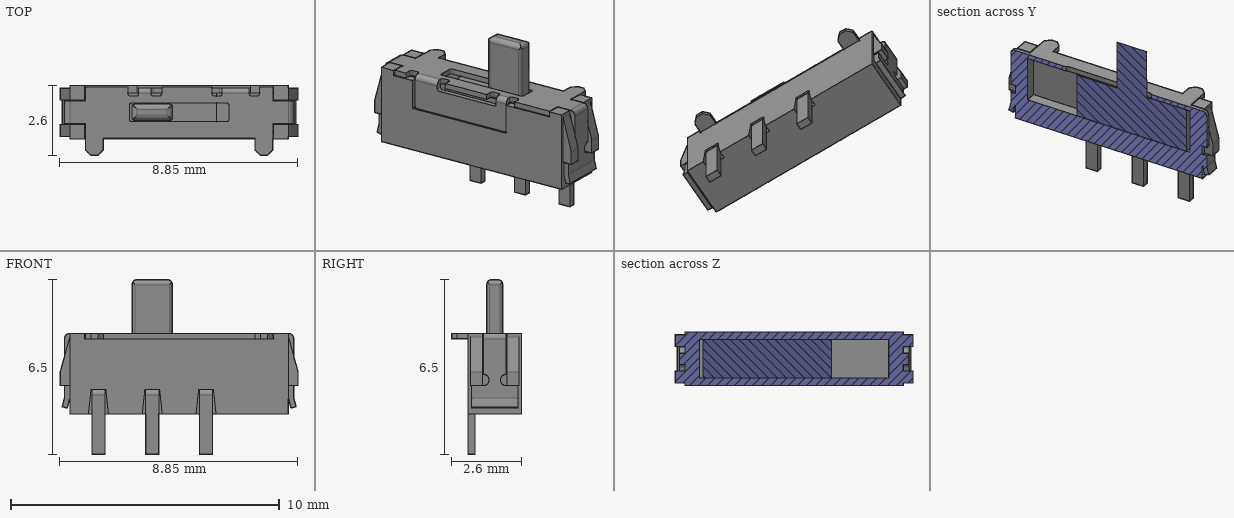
import cadquery as cq
import math


OVERALL_LENGTH = 8.85

BASE_LENGTH = 8.12
BASE_WIDTH = 2.0
BASE_HEIGHT = 3.0
HALF_LENGTH = BASE_LENGTH / 2
HALF_WIDTH = BASE_WIDTH / 2
CORNER_SIZE = 0.55
SIDE_WALL = 0.29
FLOOR_THICKNESS = 1.0
CAVITY_LENGTH = BASE_LENGTH - 2 * CORNER_SIZE
CAVITY_WIDTH = BASE_WIDTH - 2 * SIDE_WALL

SHEET = 0.2
BEND_MIDDLE = SHEET * math.sqrt(0.5)
COVER_GAP = 0.03
COVER_INSET = 0.05
COVER_BOTTOM = BASE_HEIGHT - SHEET
COVER_HALF_LENGTH = HALF_LENGTH - CORNER_SIZE - COVER_GAP
COVER_HALF_WIDTH = HALF_WIDTH - COVER_INSET
SMALL_RADIUS = 0.1

TAB_WIDTH = 0.67
TAB_REACH = 0.6
TAB_CHAMFER = 0.2

SLOT_LENGTH = 3.71
SLOT_WIDTH = 0.7

TONGUE_SPANS = [(-1.505, -1.04), (1.6, 2.6)]
RELIEF_SPANS = [(-1.9, -1.505), (-1.04, -0.65), (1.22, 1.6), (2.6, 2.99)]
RELIEF_DEPTH = 0.4
FLAP_LEFT = TONGUE_SPANS[0][0]
FLAP_RIGHT = TONGUE_SPANS[-1][1]
FLAP_INNER = CAVITY_WIDTH / 2
FLAP_OUTER = FLAP_INNER + SHEET
FLAP_WINDOW_DROP = 0.4
FLAP_BOTTOM = BASE_HEIGHT - 1.33
OPENING_END_GAP = 0.05

CATCH_REACH = (OVERALL_LENGTH - BASE_LENGTH) / 2
CATCH_INSET = 0.1
CATCH_WIDTH = CORNER_SIZE - CATCH_INSET
CATCH_TOP_DROP = 0.13
CATCH_KNEE_DROP = 1.43
CATCH_BOTTOM_DROP = 1.95

LEG_WIDTH = BASE_WIDTH - 2 * (CORNER_SIZE + COVER_GAP)
FOOT_WIDTH = 1.72
FOOT_KINK_DROP = 2.4
FOOT_LENGTH = 0.345
FOOT_TILT = math.radians(14.5)
LEG_RELIEF_RADIUS = 0.21

TERMINAL_PITCH = 2.0
TERMINAL_XS = [(number - 1.5) * TERMINAL_PITCH for number in range(3)]
TERMINAL_WIDTH = 0.5
TERMINAL_THICKNESS = 0.27
TERMINAL_LENGTH = 1.5
TERMINAL_TOP = 0.91
TERMINAL_BEND = 0.21
NOTCH_TOP_WIDTH = 0.55
NOTCH_BOTTOM_WIDTH = 0.74

KNOB_X = -TERMINAL_PITCH / 2
KNOB_LENGTH = 1.505
KNOB_WIDTH = 0.6
KNOB_HEIGHT = 2.0
KNOB_TOP_RADIUS = 0.195
KNOB_EDGE_RADIUS = 0.11
CARRIAGE_LENGTH = 4.78


def block(x_range, y_range, z_range):
    """Box between two limits on each axis."""
    lows = (x_range[0], y_range[0], z_range[0])
    sizes = (x_range[1] - x_range[0], y_range[1] - y_range[0], z_range[1] - z_range[0])
    return cq.Workplane("XY").box(*sizes, centered=False).translate(lows)


def both_ends(right_part):
    """The given +X part together with its mirror image at -X."""
    return right_part.union(right_part.mirror("YZ"))


def make_catches():
    """Two wedge-shaped catches on the +X end wall."""
    wedge = (
        cq.Workplane("XZ")
        .moveTo(HALF_LENGTH, BASE_HEIGHT - CATCH_TOP_DROP)
        .lineTo(HALF_LENGTH + CATCH_REACH, BASE_HEIGHT - CATCH_KNEE_DROP)
        .lineTo(HALF_LENGTH + CATCH_REACH, BASE_HEIGHT - CATCH_BOTTOM_DROP)
        .lineTo(HALF_LENGTH, BASE_HEIGHT - CATCH_BOTTOM_DROP)
        .close()
        .extrude(CATCH_WIDTH)
        .translate((0, -HALF_WIDTH + CORNER_SIZE, 0))
    )
    return wedge.union(wedge.mirror("XZ"))


def make_terminal_notch(x):
    """Flared notch in the front wall around one terminal."""
    return (
        cq.Workplane("XZ", origin=(x, -HALF_WIDTH + TERMINAL_THICKNESS, 0))
        .polyline([
            (-NOTCH_BOTTOM_WIDTH / 2, 0),
            (-NOTCH_TOP_WIDTH / 2, TERMINAL_TOP),
            (NOTCH_TOP_WIDTH / 2, TERMINAL_TOP),
            (NOTCH_BOTTOM_WIDTH / 2, 0),
        ])
        .close()
        .extrude(TERMINAL_THICKNESS)
    )


def make_base():
    base = cq.Workplane("XY").box(BASE_LENGTH, BASE_WIDTH, BASE_HEIGHT, centered=(True, True, False))

    inner_length = BASE_LENGTH - 2 * CORNER_SIZE
    inner_width = BASE_WIDTH - 2 * CORNER_SIZE
    for length, width in [(inner_length, BASE_WIDTH), (BASE_LENGTH, inner_width)]:
        base = base.cut(
            cq.Workplane("XY", origin=(0, 0, COVER_BOTTOM)).rect(length, width).extrude(SHEET)
        )

    base = base.cut(
        cq.Workplane("XY", origin=(0, 0, FLOOR_THICKNESS))
        .rect(CAVITY_LENGTH, CAVITY_WIDTH)
        .extrude(COVER_BOTTOM - FLOOR_THICKNESS)
    )
    base = base.cut(block(
        (FLAP_LEFT - OPENING_END_GAP, FLAP_RIGHT + OPENING_END_GAP),
        (CAVITY_WIDTH / 2, HALF_WIDTH),
        (FLAP_BOTTOM, COVER_BOTTOM),
    ))

    for x in TERMINAL_XS:
        base = base.cut(make_terminal_notch(x))
    return base.union(both_ends(make_catches()))


def make_front_tab():
    """Chamfered tab at the +X end of the front edge of the cover."""
    return (
        block(
            (COVER_HALF_LENGTH - TAB_WIDTH, COVER_HALF_LENGTH),
            (-HALF_WIDTH - TAB_REACH, -COVER_HALF_WIDTH),
            (COVER_BOTTOM, BASE_HEIGHT),
        )
        .edges("|Z and <Y")
        .chamfer(TAB_CHAMFER)
    )


def make_end_leg():
    """Leg folded down the +X end wall, wider at its outward-bent foot."""
    kink_z = BASE_HEIGHT - FOOT_KINK_DROP
    outer_x = HALF_LENGTH + SHEET
    foot_x = outer_x + FOOT_LENGTH * math.sin(FOOT_TILT)
    foot_z = kink_z - FOOT_LENGTH * math.cos(FOOT_TILT)
    strip = (
        cq.Workplane("XZ")
        .moveTo(HALF_LENGTH, BASE_HEIGHT)
        .threePointArc(
            (HALF_LENGTH + BEND_MIDDLE, COVER_BOTTOM + BEND_MIDDLE),
            (outer_x, COVER_BOTTOM),
        )
        .lineTo(outer_x, kink_z)
        .lineTo(foot_x, foot_z)
        .lineTo(foot_x - SHEET * math.cos(FOOT_TILT), foot_z - SHEET * math.sin(FOOT_TILT))
        .lineTo(HALF_LENGTH, kink_z - SHEET * math.tan(FOOT_TILT / 2))
        .close()
        .extrude(FOOT_WIDTH / 2, both=True)
    )
    shoulder_z = BASE_HEIGHT - CATCH_BOTTOM_DROP
    for side in (-1, 1):
        y_range = sorted((side * LEG_WIDTH / 2, side * FOOT_WIDTH / 2))
        strip = strip.cut(block((HALF_LENGTH, foot_x), y_range, (shoulder_z, BASE_HEIGHT)))
    reliefs = (
        cq.Workplane("YZ", origin=(HALF_LENGTH, 0, shoulder_z + LEG_RELIEF_RADIUS))
        .pushPoints([(-LEG_WIDTH / 2, 0), (LEG_WIDTH / 2, 0)])
        .circle(LEG_RELIEF_RADIUS)
        .extrude(SHEET)
    )
    return strip.cut(reliefs)


def make_rear_flap():
    """Flap bent down along the rear wall, hung from the cover by two tongues."""
    window_top = BASE_HEIGHT - FLAP_WINDOW_DROP
    flap = (
        cq.Workplane("YZ", origin=(FLAP_LEFT, 0, 0))
        .moveTo(FLAP_INNER, BASE_HEIGHT)
        .threePointArc(
            (FLAP_INNER + BEND_MIDDLE, COVER_BOTTOM + BEND_MIDDLE),
            (FLAP_OUTER, COVER_BOTTOM),
        )
        .lineTo(FLAP_OUTER, FLAP_BOTTOM)
        .lineTo(FLAP_INNER, FLAP_BOTTOM)
        .close()
        .extrude(FLAP_RIGHT - FLAP_LEFT)
    )
    window = (
        block(
            (TONGUE_SPANS[0][1], TONGUE_SPANS[1][0]),
            (FLAP_INNER, FLAP_OUTER),
            (window_top, BASE_HEIGHT),
        )
        .edges("|Y and <Z")
        .fillet(SMALL_RADIUS)
    )
    return flap.cut(window)


def make_cover():
    cover = block(
        (-COVER_HALF_LENGTH, COVER_HALF_LENGTH),
        (-COVER_HALF_WIDTH, COVER_HALF_WIDTH),
        (COVER_BOTTOM, BASE_HEIGHT),
    )
    cover = cover.union(block(
        (-HALF_LENGTH, HALF_LENGTH), (-LEG_WIDTH / 2, LEG_WIDTH / 2), (COVER_BOTTOM, BASE_HEIGHT)
    ))

    slot = block(
        (-SLOT_LENGTH / 2, SLOT_LENGTH / 2),
        (-SLOT_WIDTH / 2, SLOT_WIDTH / 2),
        (COVER_BOTTOM, BASE_HEIGHT),
    )
    cover = cover.cut(slot.edges("|Z").fillet(SMALL_RADIUS))

    for span in RELIEF_SPANS:
        relief = block(span, (HALF_WIDTH - RELIEF_DEPTH, HALF_WIDTH), (COVER_BOTTOM, BASE_HEIGHT))
        cover = cover.cut(relief.edges("|Z and <Y").fillet(SMALL_RADIUS))
    for span in TONGUE_SPANS:
        cover = cover.cut(block(span, (FLAP_INNER, HALF_WIDTH), (COVER_BOTTOM, BASE_HEIGHT)))

    cover = cover.union(make_rear_flap())
    cover = cover.union(both_ends(make_front_tab()))
    return cover.union(both_ends(make_end_leg()))


def make_terminal(x):
    """Flat terminal, flush with the front wall and rounded where it bends into the base."""
    terminal = block(
        (x - TERMINAL_WIDTH / 2, x + TERMINAL_WIDTH / 2),
        (-HALF_WIDTH, -HALF_WIDTH + TERMINAL_THICKNESS),
        (-TERMINAL_LENGTH, TERMINAL_TOP),
    )
    return terminal.edges("|X and <Y and >Z").fillet(TERMINAL_BEND)


def make_frame():
    """Base, cover and terminals joined into one solid."""
    frame = make_base().union(make_cover())
    for x in TERMINAL_XS:
        frame = frame.union(make_terminal(x))
    return frame


def make_slider():
    """Carriage that fills the cavity under the cover, with the knob through the slot."""
    carriage = block(
        (KNOB_X - CARRIAGE_LENGTH / 2, KNOB_X + CARRIAGE_LENGTH / 2),
        (-CAVITY_WIDTH / 2, CAVITY_WIDTH / 2),
        (FLOOR_THICKNESS, COVER_BOTTOM),
    )
    knob_blank = block(
        (KNOB_X - KNOB_LENGTH / 2, KNOB_X + KNOB_LENGTH / 2),
        (-KNOB_WIDTH / 2, KNOB_WIDTH / 2),
        (COVER_BOTTOM, BASE_HEIGHT + KNOB_HEIGHT),
    )
    round_top = knob_blank.faces(">Z").edges().fillet(KNOB_TOP_RADIUS)
    round_sides = knob_blank.edges("|Z").fillet(KNOB_EDGE_RADIUS)
    return carriage.union(round_top.intersect(round_sides))


frame = make_frame()
slider = make_slider()
result = cq.Compound.makeCompound([frame.solids().val(), slider.solids().val()])